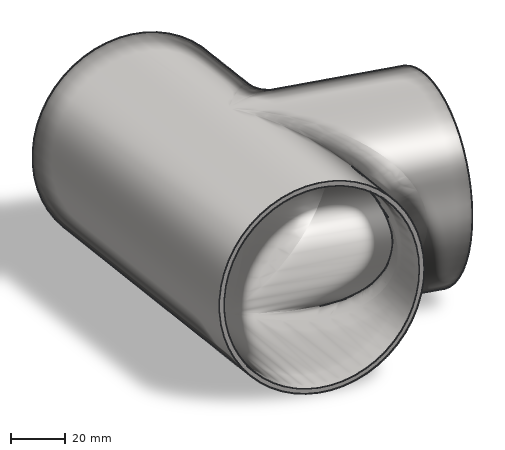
import cadquery as cq
import math

run_length = 160.0
branch_reach = 80.0
outer_diameter = 84.0
inner_diameter = 80.0
wall = (outer_diameter - inner_diameter) / 2

outer_blend_radius = 19.5
bore_blend_radius = outer_blend_radius + wall

blend_sections = 9


def half_ellipse(x, y, pipe_radius):
    """Upright half ellipse from pole to pole of the pipe, with its waist at (x, y, 0)."""
    waist = cq.Vector(x, y, 0)
    return cq.Edge.makeEllipse(
        waist.Length,
        pipe_radius,
        cq.Vector(0, 0, 0),
        cq.Vector(y, -x, 0),
        waist,
        -90,
        90,
    )


def crotch(pipe_radius, blend_radius):
    """Fill of the corner between the +X half of the run and the branch.

    At every height the corner is rounded by an arc tangent to both pipes. The arc
    shrinks with the half width of the pipes and vanishes at the top and bottom poles.
    """
    arc_center = pipe_radius + blend_radius
    curves = []
    for index in range(blend_sections):
        angle = math.pi / 2 * index / (blend_sections - 1)
        x = arc_center - blend_radius * math.cos(angle)
        y = arc_center - blend_radius * math.sin(angle)
        curves.append(half_ellipse(x, y, pipe_radius))

    blend = cq.occ_impl.shapes.loft(*curves)
    pole_line = cq.Edge.makeLine(cq.Vector(0, 0, pipe_radius), cq.Vector(0, 0, -pipe_radius))
    branch_side = cq.Face.makeFromWires(cq.Wire.assembleEdges([curves[0], pole_line]))
    run_side = cq.Face.makeFromWires(cq.Wire.assembleEdges([curves[-1], pole_line]))
    return cq.Workplane(obj=cq.occ_impl.shapes.solid(blend, branch_side, run_side))


def tee(pipe_radius, blend_radius):
    """Solid tee: run, branch and the two mirrored crotches."""
    run = cq.Workplane("YZ").circle(pipe_radius).extrude(run_length / 2, both=True)
    branch = cq.Workplane("XZ").circle(pipe_radius).extrude(-branch_reach)
    corner = crotch(pipe_radius, blend_radius)
    return run.union(branch).union(corner).union(corner.mirror("YZ"))


outside = tee(outer_diameter / 2, outer_blend_radius)
bore = tee(inner_diameter / 2, bore_blend_radius)
result = outside.cut(bore)